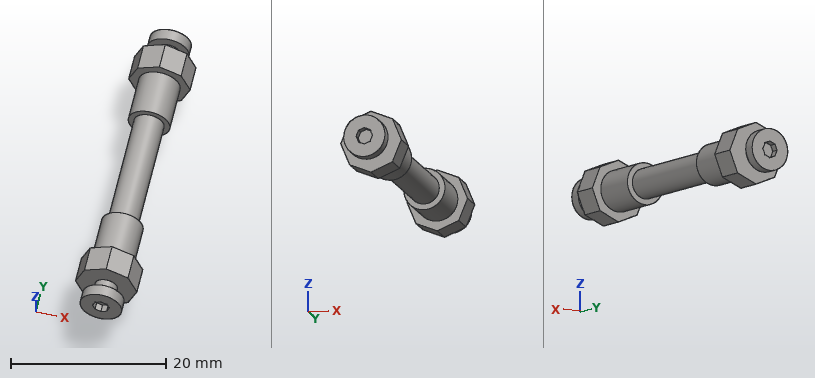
import cadquery as cq
import math

length = 42.0

flange_diameter = 5.5
neck_diameter = 3.0
sleeve_diameter = flange_diameter
rod_diameter = 4.0
nut_across_corners = 8.1
socket_across_flats = 2.0

flange_length = 1.5
neck_length = 1.72
nut_length = 3.53
sleeve_length = 6.2
socket_depth = 1.0

OCTAGON_SIDES = 8
socket_across_corners = socket_across_flats / math.cos(math.pi / OCTAGON_SIDES)


def section_at(start):
    """Workplane normal to the Y axis, centred on the part axis at the given Y."""
    return cq.Workplane("XZ", origin=(0, start, 0))


def cylinder(start, section_length, diameter):
    return section_at(start).circle(diameter / 2).extrude(-section_length)


def octagon(start, section_length, across_corners):
    return section_at(start).polygon(OCTAGON_SIDES, across_corners).extrude(-section_length)


def end_fitting():
    """Flange, neck, octagonal nut and sleeve at the -Y end."""
    flange_start = -length / 2
    neck_start = flange_start + flange_length
    nut_start = neck_start + neck_length
    sleeve_start = nut_start + nut_length

    fitting = cylinder(flange_start, flange_length, flange_diameter)
    fitting = fitting.union(cylinder(neck_start, neck_length, neck_diameter))
    fitting = fitting.union(octagon(nut_start, nut_length, nut_across_corners))
    fitting = fitting.union(cylinder(sleeve_start, sleeve_length, sleeve_diameter))
    return fitting.cut(octagon(flange_start, socket_depth, socket_across_corners))


fitting_length = flange_length + neck_length + nut_length + sleeve_length
rod_length = length - 2 * fitting_length
rod = cylinder(-rod_length / 2, rod_length, rod_diameter)

near_fitting = end_fitting()
far_fitting = near_fitting.mirror("XZ")
result = rod.union(near_fitting).union(far_fitting)